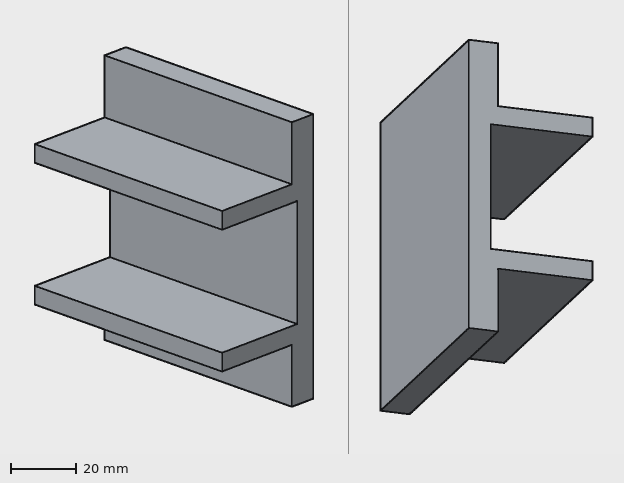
import cadquery as cq

LENGTH = 80.0
DEPTH = 40.3
HEIGHT = 94.0

PLATE_THICKNESS = 9.5
WEB_THICKNESS = 7.1
SHELF_THICKNESS = 6.2
SHELF_INSET = 20.5
UPPER_SHELF_SETBACK = 0.02

shelf_outer_z = HEIGHT / 2 - SHELF_INSET
shelf_inner_z = shelf_outer_z - SHELF_THICKNESS

back_y = DEPTH / 2
plate_front_y = back_y - PLATE_THICKNESS
web_front_y = back_y - WEB_THICKNESS
lower_tip_y = -DEPTH / 2
upper_tip_y = lower_tip_y + UPPER_SHELF_SETBACK


def half_profile(shelf_tip_y):
    """YZ points from the top back corner down to the web, along one shelf."""
    return [
        (back_y, HEIGHT / 2),
        (plate_front_y, HEIGHT / 2),
        (plate_front_y, shelf_outer_z),
        (shelf_tip_y, shelf_outer_z),
        (shelf_tip_y, shelf_inner_z),
        (web_front_y, shelf_inner_z),
    ]


upper_half = half_profile(upper_tip_y)
lower_half = [(y, -z) for y, z in reversed(half_profile(lower_tip_y))]

result = (
    cq.Workplane("YZ")
    .polyline(upper_half + lower_half)
    .close()
    .extrude(LENGTH / 2, both=True)
)